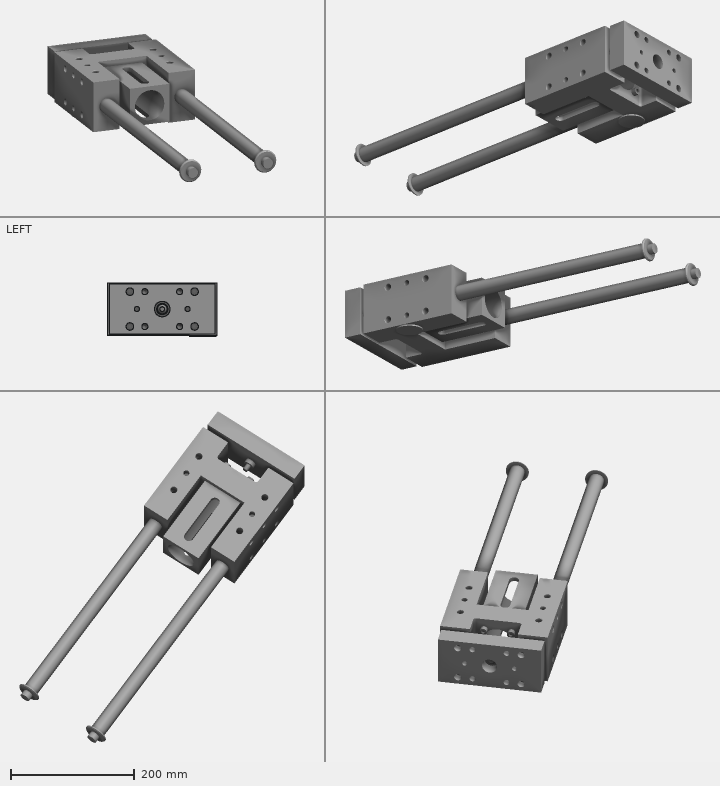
import cadquery as cq

total_length = 584.0

housing_length = 170.0
housing_width = 178.0
housing_height = 85.0
housing_front = 37.5
housing_back = housing_front + housing_length
web_front = 70.5
web_back = 111.0
front_recess_width = 79.5
rear_recess_width = 86.0
recess_fillet = 4.5

clamp_end = 231.0
clamp_width = 69.5
clamp_height = 65.0
clamp_bore = 51.5
slot_start = 125.5
slot_end = 216.0
slot_width = 16.0

clamp_screw_spacing = 45.5
clamp_screw_head = 12.0
clamp_screw_head_height = 8.0
clamp_screw_socket = 6.5
clamp_screw_socket_depth = 4.5

mount_spacing = 72.5
mount_center = 121.0
mount_hole = 11.0
mount_mouth = 12.0
mount_depth = 24.5
dowel_hole = 10.0
dowel_depth = 11.5
side_row_spacing = 56.5
top_row_spacing = 129.5

pad_diameter = 43.0
pad_thickness = 2.5
pad_x = 111.5

drill_point_slope = 0.6

plate_thickness = 29.0
plate_width = 171.0
plate_height = 82.0
rod_diameter = 25.0
rod_spacing = 131.5
rod_end = 570.5
stop_disc = 38.0
stop_disc_thickness = 3.5
stop_disc_chamfer = 2.0
stop_screw_head = 17.0

plate_row_spacing = 56.5
plain_hole = 12.0
plain_hole_spacing = 105.0
tapped_hole = 10.0
tapped_hole_spacing = 56.5
pin_hole = 8.0
pin_hole_spacing = 82.5
plate_hole_depth = 14.5

coupling_bore = 25.0
coupling_bore_depth = 20.5
stud_head = 16.0
stud_head_height = 3.5
stud_tip = 7.5
stud_collar_height = 2.5
stud_flange = 18.0
stud_flange_length = 7.0
stud_diameter = 9.0
stud_length = 10.5


def box_between(x_start, x_end, width, height):
    """Block centred on the X axis."""
    block = cq.Workplane("XY").box(x_end - x_start, width, height, centered=(False, True, True))
    return block.translate((x_start, 0, 0))


def rod_along_x(diameter, x_start, x_end, y=0.0, z=0.0):
    plane = cq.Workplane("YZ", origin=(x_start, y, z))
    return plane.circle(diameter / 2).extrude(x_end - x_start)


def cylinder_from(point, direction, diameter, depth):
    """Cylinder that starts at a point and runs along a direction."""
    start = cq.Vector(*point)
    axis = cq.Vector(*direction)
    return cq.Workplane(cq.Solid.makeCylinder(diameter / 2, depth, start, axis))


def tapped_drill(point, direction, diameter, depth):
    """Hole to cut, ending in a drill point."""
    axis = cq.Vector(*direction)
    radius = diameter / 2
    tip_start = cq.Vector(*point) + axis * depth
    tip = cq.Solid.makeCone(radius, 0, radius * drill_point_slope, tip_start, axis)
    return cylinder_from(point, direction, diameter, depth).union(cq.Workplane(tip))


def grid(spacing_1, spacing_2):
    return [(i * spacing_1 / 2, j * spacing_2 / 2) for i in (-1, 1) for j in (-1, 1)]


def h_block():
    block = box_between(housing_front, housing_back, housing_width, housing_height)
    front_recess = box_between(housing_front, web_front, front_recess_width, housing_height)
    front_recess = front_recess.edges("|Z and >X").fillet(recess_fillet)
    rear_recess = box_between(web_back, housing_back, rear_recess_width, housing_height)
    return block.cut(front_recess).cut(rear_recess)


def slotted_clamp():
    clamp = box_between(web_back, clamp_end, clamp_width, clamp_height)
    slot = (
        cq.Workplane("XY")
        .center((slot_start + slot_end) / 2, 0)
        .slot2D(slot_end - slot_start, slot_width)
        .extrude(clamp_height, both=True)
    )
    return clamp.cut(slot)


def clamp_screw_heads():
    heads = cq.Workplane()
    face_x = web_front - clamp_screw_head_height
    for y, z in grid(clamp_screw_spacing, clamp_screw_spacing):
        head = rod_along_x(clamp_screw_head, face_x, web_front, y, z)
        socket = cylinder_from((face_x, y, z), (1, 0, 0), clamp_screw_socket, clamp_screw_socket_depth)
        heads = heads.add(head.cut(socket))
    return heads.combine()


def drill_mount_row(body, y, z, direction):
    """Dowel hole between two threaded holes, in a row along X."""
    axis = cq.Vector(*direction)
    sink = (mount_mouth - mount_hole) / 2
    for offset in (-mount_spacing / 2, mount_spacing / 2):
        point = (mount_center + offset, y, z)
        countersink = cq.Solid.makeCone(mount_mouth / 2, mount_hole / 2, sink, cq.Vector(*point), axis)
        body = body.cut(tapped_drill(point, direction, mount_hole, mount_depth))
        body = body.cut(cq.Workplane(countersink))
    return body.cut(cylinder_from((mount_center, y, z), direction, dowel_hole, dowel_depth))


def make_housing():
    body = h_block().union(slotted_clamp())
    body = body.cut(rod_along_x(clamp_bore, web_front, clamp_end))
    body = body.union(clamp_screw_heads())
    for side in (-1, 1):
        body = body.cut(rod_along_x(rod_diameter, housing_front, housing_back, side * rod_spacing / 2))
        body = drill_mount_row(body, side * top_row_spacing / 2, housing_height / 2, (0, 0, -1))
        for z in (-side_row_spacing / 2, side_row_spacing / 2):
            body = drill_mount_row(body, side * housing_width / 2, z, (0, -side, 0))
    pad_center = (pad_x, -rod_spacing / 2, -housing_height / 2)
    return body.union(cylinder_from(pad_center, (0, 0, -1), pad_diameter, pad_thickness))


def drilled_plate():
    plate = box_between(0, plate_thickness, plate_width, plate_height)
    inward = (1, 0, 0)
    for y, z in grid(plain_hole_spacing, plate_row_spacing):
        plate = plate.cut(cylinder_from((0, y, z), inward, plain_hole, plate_hole_depth))
    for y, z in grid(tapped_hole_spacing, plate_row_spacing):
        plate = plate.cut(tapped_drill((0, y, z), inward, tapped_hole, plate_hole_depth))
    for y in (-pin_hole_spacing / 2, pin_hole_spacing / 2):
        plate = plate.cut(cylinder_from((0, y, 0), inward, pin_hole, plate_hole_depth))
    return plate.cut(rod_along_x(coupling_bore, 0, coupling_bore_depth))


def coupling_stud():
    """Collar and conical head inside the plate bore, flange and stud behind the plate."""
    head_start = coupling_bore_depth - stud_collar_height
    head_base = cq.Vector(head_start, 0, 0)
    toward_front = cq.Vector(-1, 0, 0)
    head = cq.Solid.makeCone(stud_head / 2, stud_tip / 2, stud_head_height, head_base, toward_front)
    flange_end = plate_thickness + stud_flange_length
    flange = rod_along_x(stud_flange, head_start, flange_end)
    stud = rod_along_x(stud_diameter, flange_end, flange_end + stud_length)
    return flange.union(cq.Workplane(head)).union(stud)


def guide_rod(y):
    """Rod with a stop disc and its screw head at the free end."""
    rod = rod_along_x(rod_diameter, plate_thickness, rod_end, y)
    disc = rod_along_x(stop_disc, rod_end, rod_end + stop_disc_thickness, y)
    disc = disc.faces(">X").chamfer(stop_disc_chamfer)
    screw_head = rod_along_x(stop_screw_head, rod_end, total_length, y)
    return rod.union(disc).union(screw_head)


def make_carriage():
    body = drilled_plate().union(coupling_stud())
    for side in (-1, 1):
        body = body.union(guide_rod(side * rod_spacing / 2))
    return body


housing = make_housing()
carriage = make_carriage()

result = cq.Compound.makeCompound([housing.solids().val(), carriage.solids().val()])